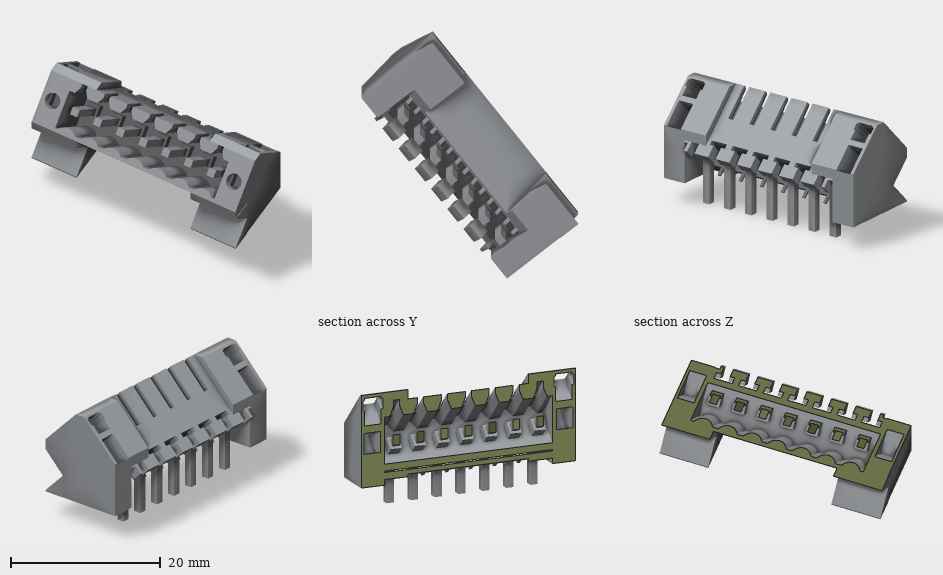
import cadquery as cq
import math

ROOT2 = math.sqrt(2)

PIN_COUNT = 7
PIN_ROW_LENGTH = 21.0
PIN_PITCH = PIN_ROW_LENGTH / (PIN_COUNT - 1)
PIN_SIZE = 1.07
PIN_DROP = 3.25
PIN_TAIL_Y = 8.6
PIN_RISE = 3.55
PIN_TIP_DEPTH = 0.1
PIN_X = [(i - (PIN_COUNT - 1) / 2) * PIN_PITCH for i in range(PIN_COUNT)]

BODY_LENGTH = 31.4
BODY_HEIGHT = 13.0
END_WIDTH = 6.92
LIP_TOP = 7.7
LIP_HEIGHT = 1.4
TOP_FLAT = 1.45
BACK_Y = 12.1
TOE_HEIGHT = 0.2
TOP_FRONT_Y = BODY_HEIGHT - LIP_TOP
LIP_BOTTOM = LIP_TOP - LIP_HEIGHT
NOTCH_REACH = (LIP_BOTTOM - TOE_HEIGHT) / 2
EDGE_RIB = 0.05

SOCKET_HEIGHT = TOP_FRONT_Y * ROOT2
POCKET_LENGTH = 24.53
POCKET_BOTTOM = 0.5
POCKET_TOP = 5.9
POCKET_DEPTH = 8.0
PLATE_BACK = 8.7
LOWER_WALL_BACK = 9.55

BUMP_RADIUS = 1.67
BUMP_CREST = 1.2
GROOVE_MOUTH = 1.95
GROOVE_TAPER_TOP = 6.85
GROOVE_TOP = 7.05
SLOT_WIDTH = 0.85
SLOT_DEPTH = 5.13
BOSS_WIDTH = 1.67
BOSS_HEIGHT = 1.9
BOSS_FRONT = 6.65

UPPER_TAB_BACK = 11.13
UPPER_TAB_ROW = 23.25
UPPER_EDGE_BACK = 9.9
TAB_GAP = 1.23
WINDOW_WIDTH = 2.55
WINDOW_BACK = 9.37
LOWER_TAB_WIDTH = 2.17
LOWER_TAB_BACK = 10.72
LOWER_TAB_STEP = 0.25

SCREW_INSET = 1.73
SCREW_RISE = 3.7
SCREW_DIAMETER = 2.2
CHAMBER_FRONT = 1.3
CHAMBER_WIDTH = 2.33
CHAMBER_FLOOR = SCREW_RISE - CHAMBER_WIDTH / 2
FRONT_OPENING_BACK = 3.95
REAR_OPENING_FRONT = 4.75
REAR_OPENING_SHIFT = 0.1
NUT_SLOT_WIDTH = 2.85
NUT_SLOT_FRONT = 1.5
NUT_SLOT_BACK = 2.5

BEYOND = 18.87

SOCKET_PLANE = cq.Plane(origin=(0, 0, LIP_TOP), xDir=(1, 0, 0), normal=(0, -1, 1))


def block(x_center, width, rise_from, rise_to, depth_from, depth_to):
    """Box in the tilted frame; depth runs inwards from the mating face."""
    return (
        cq.Workplane(SOCKET_PLANE)
        .workplane(offset=-depth_to)
        .center(x_center, (rise_from + rise_to) / 2)
        .rect(width, rise_to - rise_from)
        .extrude(depth_to - depth_from)
    )


def tilted_to_yz(rise, depth):
    """Global (y, z) of a point given in the tilted frame."""
    return ((rise + depth) / ROOT2, LIP_TOP + (rise - depth) / ROOT2)


def extrude_yz(points, x_from, x_to):
    """Prism along X from a closed Y-Z outline."""
    return (
        cq.Workplane("YZ", origin=(x_from, 0, 0)).polyline(points).close().extrude(x_to - x_from)
    )


def end_blocks():
    """The two mounting blocks, one at each end of the row."""
    back_edge_z = BODY_HEIGHT - (BACK_Y - TOP_FRONT_Y - TOP_FLAT)
    profile = [
        (0, 0),
        (0, TOE_HEIGHT),
        (NOTCH_REACH, TOE_HEIGHT + NOTCH_REACH),
        (0, LIP_BOTTOM),
        (0, LIP_TOP),
        (TOP_FRONT_Y, BODY_HEIGHT),
        (TOP_FRONT_Y + TOP_FLAT, BODY_HEIGHT),
        (BACK_Y, back_edge_z),
        (BACK_Y, 0),
    ]
    half = BODY_LENGTH / 2
    left = extrude_yz(profile, -half, -half + END_WIDTH)
    right = extrude_yz(profile, half - END_WIDTH, half)
    return left.union(right)


def edge_ribs():
    """Two thin triangles that widen the front notch on the +X end."""
    toe = [(0, 0), (0, TOE_HEIGHT), (NOTCH_REACH, TOE_HEIGHT + NOTCH_REACH), (NOTCH_REACH, 0)]
    lip = [(0, LIP_BOTTOM), (NOTCH_REACH, LIP_BOTTOM), (NOTCH_REACH, TOE_HEIGHT + NOTCH_REACH)]
    end = BODY_LENGTH / 2
    return [extrude_yz(points, end - EDGE_RIB, end + EDGE_RIB) for points in (toe, lip)]


def socket_pocket():
    """Mating pocket with a rounded bump below each pin and a tapered groove above it."""
    pocket = block(0, POCKET_LENGTH, POCKET_BOTTOM, POCKET_TOP, 0, POCKET_DEPTH)
    floor = cq.Workplane(SOCKET_PLANE).workplane(offset=-POCKET_DEPTH)
    for x in PIN_X:
        bump = floor.center(x, BUMP_CREST - BUMP_RADIUS).circle(BUMP_RADIUS).extrude(POCKET_DEPTH)
        groove = (
            floor.center(x, 0)
            .polyline([
                (-GROOVE_MOUTH / 2, POCKET_TOP),
                (-SLOT_WIDTH / 2, GROOVE_TAPER_TOP),
                (-SLOT_WIDTH / 2, GROOVE_TOP),
                (SLOT_WIDTH / 2, GROOVE_TOP),
                (SLOT_WIDTH / 2, GROOVE_TAPER_TOP),
                (GROOVE_MOUTH / 2, POCKET_TOP),
            ])
            .close()
            .extrude(POCKET_DEPTH)
        )
        slot = block(x, SLOT_WIDTH, POCKET_TOP, SOCKET_HEIGHT, 0, SLOT_DEPTH)
        boss = block(
            x, BOSS_WIDTH, PIN_RISE - BOSS_HEIGHT / 2, PIN_RISE + BOSS_HEIGHT / 2,
            BOSS_FRONT, POCKET_DEPTH,
        )
        pocket = pocket.cut(bump).union(groove).union(slot).cut(boss)
    return pocket


def nut_chamber(side):
    """Screw hole, nut slot and chamber of one end block; side is -1 or +1."""
    x = side * (BODY_LENGTH / 2 - SCREW_INSET)
    rear_x = x + side * REAR_OPENING_SHIFT
    hole = (
        cq.Workplane(SOCKET_PLANE)
        .center(x, SCREW_RISE)
        .circle(SCREW_DIAMETER / 2)
        .extrude(-CHAMBER_FRONT)
    )
    front_opening = block(x, CHAMBER_WIDTH, CHAMBER_FLOOR, BEYOND, CHAMBER_FRONT, FRONT_OPENING_BACK)
    rear_opening = block(rear_x, CHAMBER_WIDTH, CHAMBER_FLOOR, BEYOND, REAR_OPENING_FRONT, PLATE_BACK)
    nut_slot = block(x, NUT_SLOT_WIDTH, CHAMBER_FLOOR, BEYOND, NUT_SLOT_FRONT, NUT_SLOT_BACK)
    return hole.union(front_opening).union(rear_opening).union(nut_slot)


def make_pin(x):
    """Square wire: tilted contact, then a vertical solder tail."""
    top = PIN_RISE + PIN_SIZE / 2
    bottom = PIN_RISE - PIN_SIZE / 2
    tail_back = PIN_TAIL_Y + PIN_SIZE
    outline = [
        tilted_to_yz(bottom, PIN_TIP_DEPTH),
        tilted_to_yz(top, PIN_TIP_DEPTH),
        tilted_to_yz(top, tail_back * ROOT2 - top),
        (tail_back, -PIN_DROP),
        (PIN_TAIL_Y, -PIN_DROP),
        tilted_to_yz(bottom, PIN_TAIL_Y * ROOT2 - bottom),
    ]
    return extrude_yz(outline, x - PIN_SIZE / 2, x + PIN_SIZE / 2)


def make_housing(pins):
    """End blocks and tilted socket as one solid, with a fitted hole for every pin."""
    body = end_blocks()
    body = body.cut(block(0, POCKET_LENGTH, POCKET_BOTTOM, SOCKET_HEIGHT, PLATE_BACK, BEYOND))
    body = body.cut(block(0, POCKET_LENGTH, -BEYOND, POCKET_BOTTOM, LOWER_WALL_BACK, BEYOND))

    body = body.union(block(0, POCKET_LENGTH, 0, SOCKET_HEIGHT, 0, PLATE_BACK))
    body = body.union(block(0, POCKET_LENGTH, 0, POCKET_BOTTOM, PLATE_BACK, LOWER_WALL_BACK))
    upper_wall = block(0, UPPER_TAB_ROW, POCKET_TOP, SOCKET_HEIGHT, PLATE_BACK, UPPER_TAB_BACK)
    upper_wall = upper_wall.union(
        block(0, POCKET_LENGTH, POCKET_TOP, SOCKET_HEIGHT, PLATE_BACK, UPPER_EDGE_BACK)
    )
    for x in PIN_X:
        gap = block(x, TAB_GAP, 0, SOCKET_HEIGHT, PLATE_BACK, BEYOND)
        window = block(x, WINDOW_WIDTH, POCKET_TOP, SOCKET_HEIGHT, PLATE_BACK, WINDOW_BACK)
        lower_tab = block(
            x, LOWER_TAB_WIDTH, LOWER_TAB_STEP, POCKET_BOTTOM, LOWER_WALL_BACK, LOWER_TAB_BACK
        )
        lower_tab = lower_tab.cut(gap)
        upper_wall = upper_wall.cut(gap).cut(window)
        body = body.union(lower_tab)
    body = body.union(upper_wall)

    body = body.cut(socket_pocket())
    for side in (-1, 1):
        body = body.cut(nut_chamber(side))
    for rib in edge_ribs():
        body = body.union(rib)
    for pin in pins:
        body = body.cut(pin)
    return body


pins = [make_pin(x) for x in PIN_X]
housing = make_housing(pins)

result = cq.Compound.makeCompound([housing.solids().val(), *[pin.val() for pin in pins]])